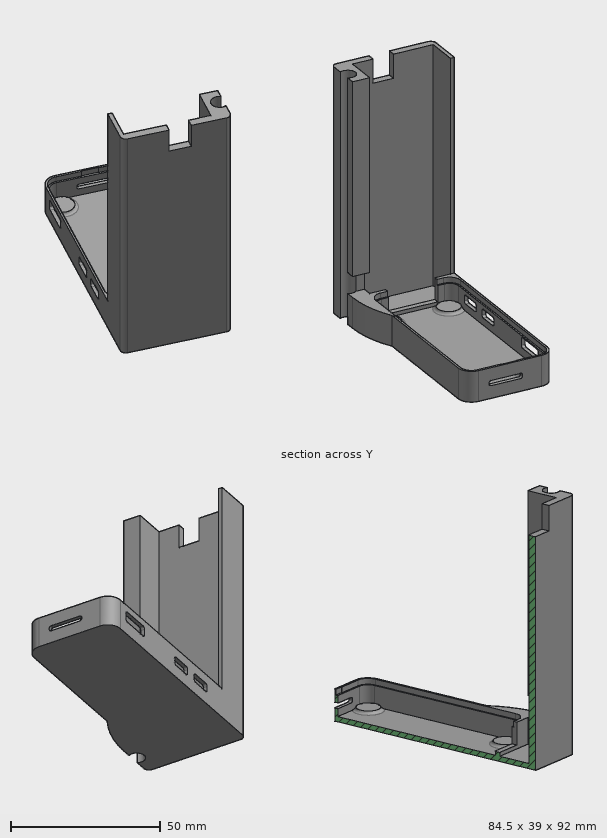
import cadquery as cq
import math

length = 84.5
width = 39.0
height = 92.0
tray_width = 34.0
tray_height = 11.5
tray_corner = 5.0
tower_front = 69.55
tower_corner = 2.0

wall = 1.5
floor = 2.0
cavity_end = 67.4
cavity_corner = tray_corner - wall
rim_step = 0.6
rim_depth = 2.0
doorway_start = 7.5
doorway_end = 26.4
doorway_sill = 3.4

pad_radius = 4.2
pad_flare = 1.6
pad_height = 1.1
pad_inset = 5.6

tower_floor = floor
channel_start = 1.6
back_wall = 2.9
channel_end = 32.5
notch_start = 16.7
notch_end = 24.6
notch_depth = 9.0

groove_radius = 2.9
groove_x = 75.5
groove_y = width - groove_radius / 2
relief_end = 73.2
relief_height = 7.8
gusset_start = 51.1

port_corner = 0.8
ports = [(8.65, 20.3, 5.1, 9.0), (39.5, 47.7, 4.7, 7.9), (51.8, 60.0, 4.7, 7.9)]
card_slot = (12.2, 25.0, 4.8, 6.7)
card_slot_corner = 0.7
latch_start = 14.1
latch_end = 20.15
latch_depth = 0.8


def box(x0, x1, y0, y1, z0, z1):
    """Box between opposite corners."""
    return cq.Workplane("XY").box(x1 - x0, y1 - y0, z1 - z0, centered=False).translate((x0, y0, z0))


def make_tray():
    tray = box(0, length - tower_corner, 0, tray_width, 0, tray_height)
    return tray.edges("|Z and <X").fillet(tray_corner)


def make_tower():
    tower = box(tower_front, length, 0, width, 0, height)
    return tower.edges("|Z and >X").fillet(tower_corner)


def make_gusset():
    """Arc from the tray side, ending tangent to the tower side."""
    run = tower_front - gusset_start
    rise = width - tray_width
    radius = (run**2 + rise**2) / (2 * rise)
    half_angle = math.atan2(run, radius - rise) / 2
    middle = (
        tower_front - radius * math.sin(half_angle),
        width - radius * (1 - math.cos(half_angle)),
    )
    return (
        cq.Workplane("XY")
        .moveTo(gusset_start, tray_width)
        .threePointArc(middle, (tower_front, width))
        .lineTo(tower_front, tray_width)
        .close()
        .extrude(tray_height)
    )


def make_cavity():
    cavity = box(wall, cavity_end, wall, tray_width - wall, floor, tray_height)
    return cavity.edges("|Z").fillet(cavity_corner)


def make_rim():
    edge = wall - rim_step
    rim = box(edge, cavity_end + rim_step, edge, tray_width - edge, tray_height - rim_depth, tray_height)
    return rim.edges("|Z").fillet(cavity_corner + rim_step)


def make_pad(x, y):
    base_radius = pad_radius + pad_flare
    bend = math.sqrt(0.5)
    middle = (base_radius - pad_flare * bend, pad_height * (1 - bend))
    pad = (
        cq.Workplane("XZ")
        .lineTo(base_radius, 0)
        .threePointArc(middle, (pad_radius, pad_height))
        .lineTo(0, pad_height)
        .close()
        .revolve(360, (0, 0), (0, 1))
    )
    return pad.translate((x, y, floor))


def make_port(x0, x1, z0, z1):
    return box(x0, x1, 0, wall, z0, z1).edges("|Y").fillet(port_corner)


def make_card_slot(y0, y1, z0, z1):
    return box(0, wall, y0, y1, z0, z1).edges("|X").fillet(card_slot_corner)


result = make_tray().union(make_tower()).union(make_gusset())

cavity = make_cavity()
for x in (pad_inset, cavity_end - (pad_inset - wall)):
    for y in (pad_inset, tray_width - pad_inset):
        cavity = cavity.cut(make_pad(x, y))
result = result.cut(cavity).cut(make_rim())
result = result.cut(
    box(wall - latch_depth, wall, latch_start, latch_end, tray_height - rim_depth, tray_height)
)

channel_back = length - back_wall
result = result.cut(box(tower_front, channel_back, channel_start, channel_end, tower_floor, height))
result = result.cut(box(cavity_end, tower_front, doorway_start, doorway_end, doorway_sill, tray_height))
result = result.cut(box(channel_back, length, notch_start, notch_end, height - notch_depth, height))

groove = cq.Workplane("XY").center(groove_x, groove_y).circle(groove_radius).extrude(height)
relief = box(tower_front, relief_end, channel_end, width, tray_height, tray_height + relief_height)
result = result.cut(groove).cut(relief)

for port in ports:
    result = result.cut(make_port(*port))
result = result.cut(make_card_slot(*card_slot))